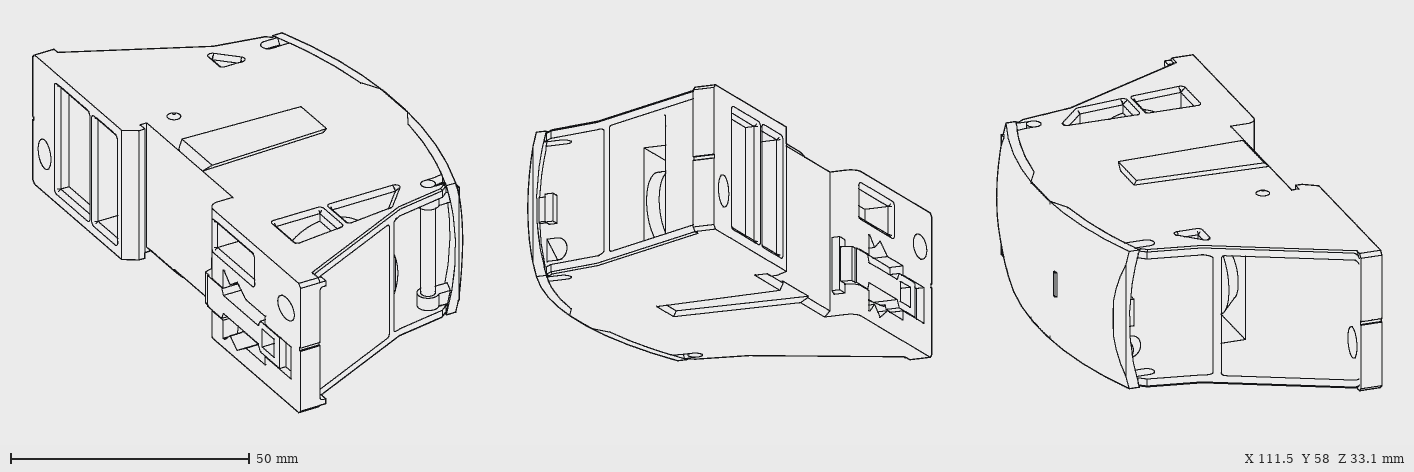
import cadquery as cq
length = 111.47
depth = 31.5
apex_y = 57.97
tab_rise = 1.6

end_x = length / 2
mid_z = depth / 2
axis_x = -0.5
foot_y = 4.75
plate = 2.0

root_half, root_y = 53.35, foot_y
knee_half, knee_y = 39.0, 34.3
shoulder_half, shoulder_y = 36.9, 45.8
neck_half, neck_y = 35.6, 47.4
root_radius = 1.5
flank_bevel = 0.4
foot_chamfer = 0.8
lip_y, lip_width = 6.15, 2.0

dome_radius = 108.0
dome_drop = 2.1
cover_thick = 2.15
cover_half = 36.1
cover_chamfer = 2.0
chamfer_low_y = 50.3
hump_top_y, hump_top_half = 55.6, 5.6
hump_low_y, hump_low_half = 53.0, 10.4

rail_y = 6.1
rail_left, rail_right = -18.7, 17.1
hook_tip_x, hook_low_y, hook_high_y = -16.7, 3.0, 4.5
foot_radius = 2.35
rail_chamfer = 1.2

tab_low_y, tab_high_y = 6.1, 36.1
tab_low_half, tab_high_half = 6.3, 5.3
tab_undercut = 1.3
groove_gap = 0.3

back_half = 30.7
ramp_top_y, ramp_low_y = 41.5, 32.0
ceiling_y = 30.6
wall_round = 0.7

clip_z = 10.5
clip_half = 3.75
clip_thick = 5.5
clip_gap = 0.15
clip_waist_half = 2.2
clip_hook_half = 5.8
clip_arm_x, clip_arm_y = 38.0, 3.0
chamber_half, tooth_half, chamber_end_x = 5.9, 8.3, 41.0
channel_end_x = 51.7
clip_step_x, clip_end_x = 47.0, 51.1
clip_step_y = 1.5
opening_x = 42.1

drum_radius, drum_y = 13.0, 20.7
drum_x0, drum_x1 = 28.0, 38.6
screw_radius, screw_tip_radius = 8.05, 5.2
screw_x = -21.5
screw_wall_x = -30.8
screw_low_y, screw_cone_y, screw_top_y = 21.2, 24.4, 27.3
pin_radius, pin_x, pin_y = 1.55, 33.0, 44.3


def slab(points, z0, z1):
    """Polygon in X and Y, extruded from z0 to z1."""
    return cq.Workplane("XY", origin=(0, 0, z0)).polyline(points).close().extrude(z1 - z0)


def plan(points, y0, y1):
    """Polygon in X and Z, extruded from y0 to y1."""
    return cq.Workplane("XZ", origin=(0, y0, 0)).polyline(points).close().extrude(y0 - y1)


def box(x0, x1, y0, y1, z0, z1):
    size = (x1 - x0, y1 - y0, z1 - z0)
    return cq.Workplane("XY").box(*size, centered=False).translate((x0, y0, z0))


def rectangle(x0, x1, z0, z1):
    return [(x0, z0), (x1, z0), (x1, z1), (x0, z1)]


def both_sides(points):
    """Half outline, listed from the left going up, completed by its mirror image about axis_x."""
    left = [(axis_x - half, y) for half, y in points]
    right = [(axis_x + half, y) for half, y in reversed(points)]
    return left + right


def rimmed_pocket(plane, points, pocket_depth, corner=1.0, rim=1.0):
    """Cutter that sinks from a workplane against its normal, with a bevelled rim."""
    mouth = cq.Workplane(plane).polyline(points).close().offset2D(-corner).offset2D(corner)
    bevel = mouth.extrude(-rim, taper=45)
    shaft = cq.Workplane(plane).polyline(points).close().offset2D(-rim).extrude(-pocket_depth)
    return bevel.union(shaft)


def dome(lowered):
    """Everything under the double-curved dome, sunk by `lowered`, above the dome's hub."""
    crown = apex_y - lowered
    edge = crown - dome_drop
    hub = apex_y - dome_radius
    section = (
        cq.Workplane("YZ", origin=(axis_x, 0, 0))
        .moveTo(hub, 0)
        .lineTo(edge, 0)
        .threePointArc((crown, mid_z), (edge, depth))
        .lineTo(hub, depth)
        .close()
    )
    return section.revolve(360, (hub, 0, 0), (hub, 1, 0))


def cover_seat():
    """Shape under the cover: inner dome and the flat-topped hump in its middle."""
    hump = slab(
        both_sides([(hump_low_half, knee_y), (hump_low_half, hump_low_y), (hump_top_half, hump_top_y)]),
        0, depth,
    )
    return dome(cover_thick).union(hump)


def is_flank_edge(edge):
    middle = edge.Center()
    return abs(middle.x) > neck_half - 1 and root_y < middle.y < neck_y


def housing_blank():
    flank = both_sides([
        (root_half, root_y),
        (knee_half, knee_y),
        (shoulder_half, shoulder_y),
        (neck_half, neck_y),
        (neck_half, apex_y),
    ])
    upper = slab(flank, 0, depth)
    upper = upper.faces("<Z or >Z").edges().filter(is_flank_edge).chamfer(flank_bevel)
    feet = box(-end_x, end_x, 0, foot_y, 0, depth).edges("|Y").chamfer(foot_chamfer)
    body = feet.union(upper)
    body = body.edges("|Z").edges(cq.selectors.BoxSelector(
        (-end_x + 1, root_y - 0.1, 0), (end_x - 1, root_y + 0.1, depth)
    )).fillet(root_radius)
    lip = box(end_x - lip_width, end_x, foot_y, lip_y, foot_chamfer, depth - foot_chamfer)
    return body.union(lip).intersect(cover_seat())


def rail_recess():
    recess = slab([
        (rail_left, 0), (hook_tip_x, hook_low_y), (hook_tip_x, hook_high_y), (rail_left, hook_high_y),
        (rail_left, rail_y), (rail_right, rail_y), (rail_right, 0),
    ], 0, depth)
    corner = box(rail_right, rail_right + foot_radius, 0, foot_radius, 0, depth)
    round_foot = (
        cq.Workplane("XY")
        .center(rail_right + foot_radius, foot_radius)
        .circle(foot_radius)
        .extrude(depth)
    )
    bevel = (
        cq.Workplane("YZ", origin=(rail_left, 0, 0))
        .polyline([(rail_y, 0), (rail_y + rail_chamfer, 0), (rail_y, rail_chamfer)])
        .close()
        .extrude(rail_right - rail_left)
    )
    return recess.union(corner.cut(round_foot)).union(bevel)


def dovetail(lead, gap=0.0):
    """Undercut tab standing on z = 0, widening upward and tapering along Y.

    Its -Y end leans back by `lead` over the height.
    """
    low, high = tab_low_half + gap, tab_high_half + gap

    def ring(narrowing, y0, z):
        return (
            cq.Workplane("XY", origin=(axis_x, 0, z))
            .polyline([
                (-low + narrowing, y0), (low - narrowing, y0),
                (high - narrowing, tab_high_y), (-high + narrowing, tab_high_y),
            ])
            .close()
        )

    base = ring(tab_undercut, tab_low_y, 0)
    top = ring(0, tab_low_y + lead, tab_rise)
    return cq.Workplane(cq.Solid.makeLoft([base.wires().val(), top.wires().val()], True))


def stud():
    """Low cone on the upper face."""
    radius, tip_radius, height = 1.45, 0.3, 0.65
    return (
        cq.Workplane("XZ", origin=(-18.15, 12.4, depth))
        .polyline([(0, -1), (radius, -1), (radius, 0), (tip_radius, height), (0, height)])
        .close()
        .revolve(360, (0, 0, 0), (0, 1, 0))
    )


def compartments():
    """Terminal spaces at both ends, open outward between the two side plates."""
    ramp_low_half = back_half + ramp_top_y - ramp_low_y
    upper = [
        (back_half, apex_y), (back_half, ramp_top_y), (ramp_low_half, ramp_low_y),
        (end_x, ramp_low_y), (end_x, apex_y),
    ]
    stepped = [
        (-end_x - 1, foot_y), (-47.5, foot_y), (-47.5, 8.0), (-45.5, 10.5), (-45.5, 16.0),
        (-37.5, 16.0), (-37.5, 19.3), (screw_wall_x, 19.3), (screw_wall_x, ceiling_y),
        (-end_x - 1, ceiling_y),
    ]
    slanted = [(end_x + 1, foot_y), (opening_x, foot_y), (38.9, ceiling_y), (end_x + 1, ceiling_y)]
    left = [(axis_x - half, y) for half, y in upper]
    right = [(axis_x + half, y) for half, y in upper]
    spaces = None
    for points in (left, right, stepped, slanted):
        space = slab(points, plate, depth - plate).edges().fillet(wall_round)
        spaces = space if spaces is None else spaces.union(space)
    return spaces


def front_pockets():
    """Weight-saving pockets in the feet, opening toward -Y."""
    low_z, high_z = 2.2, 29.1
    cutter = rimmed_pocket("XZ", rectangle(-46.7, -31.9, low_z, high_z), 3.0)
    cutter = cutter.union(rimmed_pocket("XZ", rectangle(-31.2, -20.4, low_z, high_z), 6.3))
    return cutter.union(rimmed_pocket("XZ", rectangle(18.5, 36.6, 21.0, high_z), 6.4))


def face_pockets():
    """Pockets in the upper face; the two on the right expose the drum."""
    plane = cq.Plane(origin=(0, 0, depth))
    triangle = [(-38.2, 31.1), (-30.5, 31.1), (-30.5, 38.8)]
    upper = [(29.7, 21.4), (38.9, 21.4), (37.5, 33.0), (29.7, 39.9)]
    lower = [(29.7, 7.7), (40.6, 7.7), (39.2, 20.3), (29.7, 20.3)]
    cutter = rimmed_pocket(plane, triangle, 10.0)
    for points in (upper, lower):
        cutter = cutter.union(rimmed_pocket(plane, points, mid_z))
    return cutter


def mounting_holes():
    left = cq.Workplane("XZ", origin=(-50.75, 0, 9.4)).ellipse(2.65, 3.45).extrude(-knee_y)
    right = cq.Workplane("XZ", origin=(49.65, 0, 22.8)).ellipse(3.45, 2.6).extrude(-knee_y)
    return left.union(right)


def side_slots():
    """Slots that run down both side plates under the cover ends."""
    latch_x, latch_y, latch_radius = -33.75, 44.5, 1.6
    latch = cq.Workplane("XY").center(latch_x, latch_y).circle(latch_radius).extrude(depth)
    latch = latch.union(
        box(latch_x - latch_radius, latch_x + latch_radius, latch_y, neck_y + 2, 0, depth)
    )
    mouth_half, mouth_y, flare_y = 2.0, 49.0, 46.5
    hinge = slab([
        (pin_x - pin_radius, pin_y), (pin_x + pin_radius, pin_y),
        (pin_x + pin_radius, flare_y), (pin_x + mouth_half, mouth_y),
        (pin_x - mouth_half, mouth_y), (pin_x - pin_radius, flare_y),
    ], 0, depth)
    return latch.union(hinge).union(make_pin())


def back_wall_slot():
    """Round-ended slot in the back wall of the upper left compartment."""
    radius, centre_y, centre_z = 2.1, 47.0, 7.1
    wall_x = axis_x - back_half
    slot_depth = 5.0
    slant = 30
    start_x = wall_x - slot_depth / 2
    slot = cq.Workplane("YZ", origin=(start_x, centre_y, centre_z)).circle(radius).extrude(1.5 * slot_depth)
    slot = slot.union(box(
        start_x, start_x + 1.5 * slot_depth,
        centre_y, centre_y + 2.5, centre_z - radius, centre_z + radius,
    ))
    return slot.rotate((wall_x, 0, centre_z), (wall_x, 1, centre_z), slant)


def clip_channel():
    """Recess for the clip, its toothed side chambers and the opening to the compartment."""
    half = clip_half + clip_gap
    channel = box(rail_right - 1, channel_end_x, 0, clip_thick, clip_z - half, clip_z + half)
    for side in (-1, 1):
        chamber = [
            (23.5, 0), (23.5, tooth_half), (24.0, tooth_half), (26.4, 6.2), (29.3, tooth_half),
            (33.0, chamber_half), (chamber_end_x, chamber_half), (chamber_end_x, 0),
        ]
        points = [(x, clip_z + side * z) for x, z in chamber]
        channel = channel.union(plan(points, 0, clip_thick))
    opening = box(opening_x, channel_end_x, 0, foot_y, clip_z - half, clip_z + half)
    return channel.union(opening)


def end_grooves():
    """Shallow line across both end faces at half depth."""
    size = 0.4
    left = box(-end_x, -end_x + size, 0, foot_y, mid_z - size, mid_z + size)
    right = box(end_x - size, end_x, 0, foot_y, mid_z - size, mid_z + size)
    return left.union(right)


def make_housing():
    window = box(screw_wall_x, screw_x + screw_radius, screw_low_y, screw_top_y, 4.5, 27.0)
    body = housing_blank().cut(rail_recess()).cut(compartments())
    body = body.union(dovetail(tab_rise).translate((0, 0, depth))).union(stud())
    body = body.cut(dovetail(0, groove_gap))
    for cutter in (front_pockets(), face_pockets(), mounting_holes(), side_slots()):
        body = body.cut(cutter)
    for cutter in (back_wall_slot(), clip_channel(), end_grooves(), window, make_drum()):
        body = body.cut(cutter)
    return body


def make_cover():
    half = cover_half
    limits = slab(
        both_sides([
            (half, pin_y), (half, chamfer_low_y),
            (half - cover_chamfer, chamfer_low_y + cover_chamfer), (half - cover_chamfer, apex_y + 1),
        ]),
        0, depth,
    )
    shell = dome(0).intersect(limits).cut(cover_seat())
    wall_x = axis_x - back_half
    tongue = box(wall_x - 1.2, wall_x, 47.2, 52.0, 13.1, 18.4)
    catch = box(wall_x - 2.0, wall_x, 47.2, 49.0, 12.7, 18.8)
    rib = box(-13.9, -12.9, 56.0, 57.5, 13.0, 18.5)
    cover = shell.union(tongue).union(catch).union(rib)
    lug_thick, eye_wall = 3.0, 0.8
    for z in (plate, depth - plate - lug_thick):
        lug = box(pin_x - pin_radius, pin_x + pin_radius, pin_y, chamfer_low_y + 0.7, z, z + lug_thick)
        eye = (
            cq.Workplane("XY", origin=(pin_x, pin_y, z))
            .circle(pin_radius + eye_wall)
            .extrude(lug_thick)
        )
        cover = cover.union(lug).union(eye)
    return cover.cut(make_pin())


def make_pin():
    return cq.Workplane("XY").center(pin_x, pin_y).circle(pin_radius).extrude(depth)


def make_drum():
    return (
        cq.Workplane("YZ", origin=(drum_x0, drum_y, mid_z))
        .circle(drum_radius)
        .extrude(drum_x1 - drum_x0)
    )


def make_screw():
    return (
        cq.Workplane("XY", origin=(screw_x, 0, mid_z))
        .polyline([
            (0, screw_low_y), (screw_tip_radius, screw_low_y), (screw_radius, screw_cone_y),
            (screw_radius, screw_top_y), (0, screw_top_y),
        ])
        .close()
        .revolve(360, (0, 0, 0), (0, 1, 0))
    )


def make_clip():
    low_z, high_z = clip_z - clip_half, clip_z + clip_half
    bar = [
        (rail_right, 0), (rail_right, clip_half), (22.9, clip_half), (23.6, clip_waist_half),
        (clip_arm_x, clip_waist_half), (clip_arm_x + 1, clip_half), (clip_step_x, clip_half),
        (clip_step_x, 0),
    ]
    barbed_arm = [
        (clip_arm_x + 1, clip_waist_half), (clip_arm_x, 3.4), (24.9, 4.5), (24.2, 8.1),
        (26.4, 6.1), (27.2, clip_hook_half), (chamber_end_x - clip_gap, clip_hook_half),
        (chamber_end_x - clip_gap, clip_waist_half),
    ]
    clip = box(clip_step_x, clip_end_x, clip_step_y, clip_thick, low_z, high_z)
    for side in (-1, 1):
        for outline, front_y in ((bar, 0), (barbed_arm, clip_arm_y)):
            points = [(x, clip_z + side * z) for x, z in outline]
            clip = clip.union(plan(points, front_y, clip_thick))

    nose = slab(
        [(rail_right, 0.3), (15.6, 0.3), (14.8, 2.6), (14.8, 3.2), (rail_right, 3.2)],
        low_z, high_z,
    )
    catch = slab(
        [(rail_right, 2.6), (14.3, 2.6), (14.3, 4.4), (16.4, 4.9), (rail_right, 5.1)],
        clip_z - clip_hook_half, clip_z + clip_hook_half,
    )
    clip = clip.union(nose).union(catch)
    window = box(39.7, 44.7, 0, clip_thick, clip_z - clip_waist_half, clip_z + clip_waist_half)
    return clip.cut(window)


housing = make_housing()
cover = make_cover()
clip = make_clip()
pin = make_pin()
drum = make_drum()
screw = make_screw()

result = cq.Compound.makeCompound([
    housing.val(), cover.val(), clip.val(), pin.val(), drum.val(), screw.val(),
])